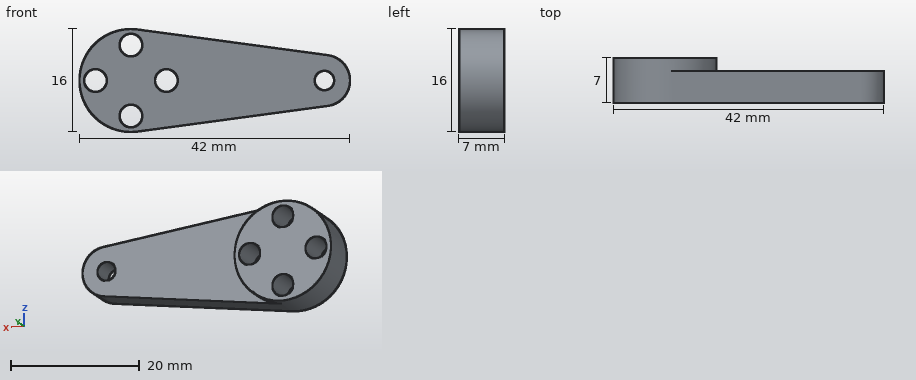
import cadquery as cq
import math

overall_length = 42.0
hub_diameter = 16.0
tip_diameter = 7.98
hub_thickness = 7.0
arm_thickness = 5.0
hub_hole_diameter = 3.5
hub_hole_circle_radius = 5.5
hub_hole_count = 4
tip_hole_diameter = 3.0

hub_radius = hub_diameter / 2
tip_radius = tip_diameter / 2
tip_x = overall_length - hub_radius - tip_radius

tangent_cos = (hub_radius - tip_radius) / tip_x
tangent_sin = math.sqrt(1 - tangent_cos**2)


def extrude_back(profile, depth):
    """Extrude an XZ profile from the flat face toward +Y."""
    return profile.extrude(-depth)


def make_hub():
    return extrude_back(cq.Workplane("XZ").circle(hub_radius), hub_thickness)


def make_arm():
    """Tapered plate tangent to the hub and the tip; its wide end lies inside the hub."""
    hub_tangent = (hub_radius * tangent_cos, hub_radius * tangent_sin)
    tip_tangent = (tip_x + tip_radius * tangent_cos, tip_radius * tangent_sin)
    profile = (
        cq.Workplane("XZ")
        .moveTo(*hub_tangent)
        .lineTo(*tip_tangent)
        .threePointArc((tip_x + tip_radius, 0), (tip_tangent[0], -tip_tangent[1]))
        .lineTo(hub_tangent[0], -hub_tangent[1])
        .close()
    )
    return extrude_back(profile, arm_thickness)


def make_hub_holes():
    profile = (
        cq.Workplane("XZ")
        .polarArray(hub_hole_circle_radius, 0, 360, hub_hole_count)
        .circle(hub_hole_diameter / 2)
    )
    return extrude_back(profile, hub_thickness)


def make_tip_hole():
    profile = cq.Workplane("XZ").center(tip_x, 0).circle(tip_hole_diameter / 2)
    return extrude_back(profile, arm_thickness)


result = make_hub().union(make_arm()).cut(make_hub_holes()).cut(make_tip_hole())